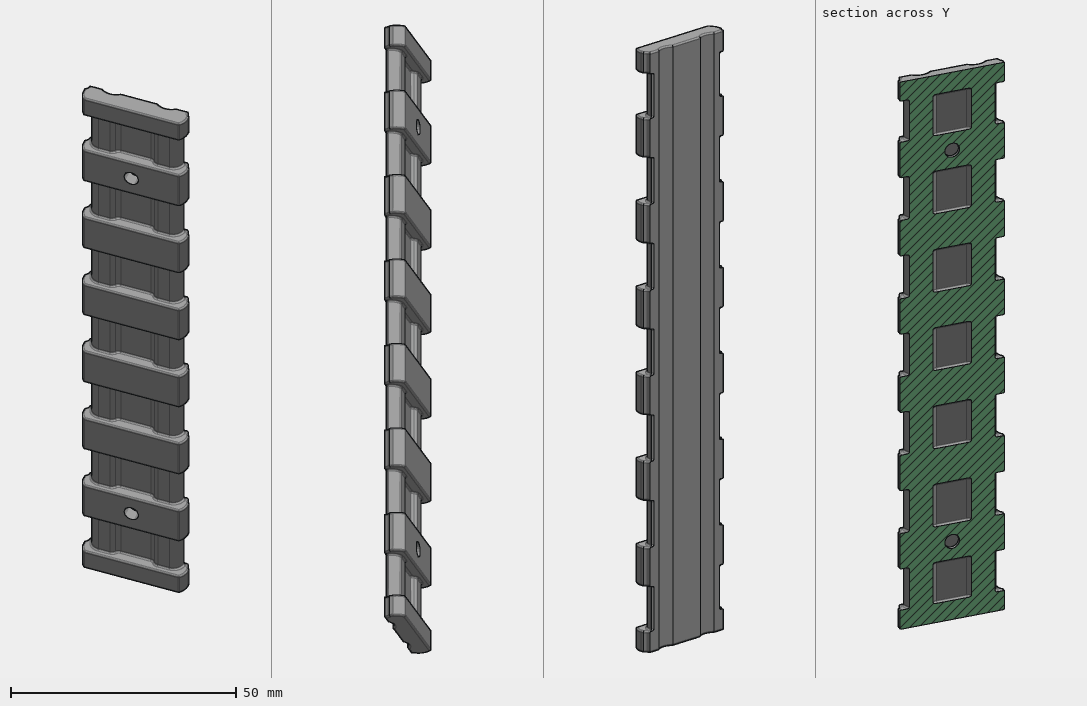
import cadquery as cq
import math

length = 140.0
rib_width = 25.0
thickness = 4.7
back_y = thickness / 2
front_y = -thickness / 2

base_width = 21.8
base_thickness = 3.1
base_front_y = back_y - base_thickness
base_side_radius = 2.4
base_back_chamfer = 0.4

channel_floor_width = 7.2
channel_mouth_width = 11.4
channel_depth = 1.15
channel_floor_y = base_front_y + channel_depth

rib_pitch = 20.0
rib_count = 6
edge_radius = 0.4
rib_height = rib_pitch / 2 - 2 * edge_radius
end_rib_height = 5.0
rib_back_depth = 1.3
rib_back_arc_radius = 1.5
rib_side_flat = 0.8
rib_front_arc_radius = 3.5

groove_diameter = 7.0
groove_width = 4.4
groove_center_x = 6.6

hole_diameter = 3.4
hole_depth = 3.0
hole_spacing = 100.0

margin = edge_radius / 4


def mirrored_prism(half_outline, z_bottom, height):
    """Extrude the +X half of a cross-section and join it to its mirror image."""
    half = half_outline.close().extrude(height).translate((0, 0, z_bottom))
    return half.union(half.mirror("YZ"), clean=True)


def make_base():
    """Strip with rounded front corners, bevelled back corners and a channel along its front."""
    half_floor = channel_floor_width / 2
    half_mouth = channel_mouth_width / 2
    wall_middle = ((half_floor + half_mouth) / 2, (channel_floor_y + base_front_y) / 2)
    side_center_x = base_width / 2 - base_side_radius
    side_center_y = base_front_y + base_side_radius
    half_outline = (
        cq.Workplane("XY")
        .moveTo(0, channel_floor_y)
        .lineTo(half_floor, channel_floor_y)
        .tangentArcPoint(wall_middle, relative=False)
        .tangentArcPoint((half_mouth, base_front_y), relative=False)
        .lineTo(side_center_x, base_front_y)
        .tangentArcPoint((base_width / 2, side_center_y), relative=False)
        .lineTo(base_width / 2, back_y - base_back_chamfer)
        .lineTo(base_width / 2 - base_back_chamfer, back_y)
        .lineTo(0, back_y)
    )
    return mirrored_prism(half_outline, -length / 2, length)


def arc_inset(radius, run):
    """Sideways shift of an arc after following it for run from its tangent point."""
    return radius - math.sqrt(radius**2 - run**2)


def make_rib(z_bottom, height):
    """Cross rib with rounded sides and square ends."""
    half_width = rib_width / 2
    flat_back_y = back_y - rib_back_depth
    flat_front_y = flat_back_y - rib_side_flat
    back_corner_x = half_width - arc_inset(rib_back_arc_radius, rib_back_depth)
    front_corner_x = half_width - arc_inset(rib_front_arc_radius, flat_front_y - front_y)
    half_outline = (
        cq.Workplane("XY")
        .moveTo(0, back_y)
        .lineTo(back_corner_x, back_y)
        .radiusArc((half_width, flat_back_y), -rib_back_arc_radius)
        .lineTo(half_width, flat_front_y)
        .tangentArcPoint((front_corner_x, front_y), relative=False)
        .lineTo(0, front_y)
    )
    return mirrored_prism(half_outline, z_bottom, height)


def level_zone(z, x_range, y_range):
    """Selector for what is centred at height z within the given X and Y ranges."""
    return cq.selectors.BoxSelector(
        (x_range[0], y_range[0], z - margin),
        (x_range[1], y_range[1], z + margin),
    )


def fillet_rib_roots(body, inner_end_levels):
    """Round the inside corners where the rib ends meet the strip."""
    x_range = (-base_width / 2, base_width / 2)
    y_range = (base_front_y - margin, back_y + margin)
    roots = []
    for end_z in inner_end_levels:
        roots += body.edges(level_zone(end_z, x_range, y_range)).vals()
    return body.newObject(roots).fillet(edge_radius)


def fillet_rib_edges(body, inner_end_levels):
    """Round the rib fronts, the overhanging rib sides and the whole outline of both part ends."""
    rim = body.faces("<Y").edges().add(body.faces("<Z or >Z").edges())
    right_x_range = (base_width / 2, rib_width / 2 + margin)
    left_x_range = (-rib_width / 2 - margin, -base_width / 2)
    y_range = (front_y + margin, back_y - margin)
    for end_z in inner_end_levels:
        for x_range in (left_x_range, right_x_range):
            rim = rim.add(body.edges(level_zone(end_z, x_range, y_range)))
    return rim.fillet(edge_radius)


def cut_back_groove(body, center_x):
    """Cut a full-length groove with a circular cross-section into the back."""
    radius = groove_diameter / 2
    axis_y = back_y + math.sqrt(radius**2 - (groove_width / 2) ** 2)
    groove = cq.Workplane("XY").center(center_x, axis_y).circle(radius).extrude(length / 2, both=True)
    return body.cut(groove)


def cut_screw_hole(body, center_z):
    """Cut a flat-bottomed hole from the rib front."""
    hole = cq.Workplane("XZ", origin=(0, front_y, center_z)).circle(hole_diameter / 2).extrude(-hole_depth)
    return body.cut(hole)


rib_spans = [(-length / 2, end_rib_height), (length / 2 - end_rib_height, end_rib_height)]
for index in range(rib_count):
    rib_center_z = (index - (rib_count - 1) / 2) * rib_pitch
    rib_spans.append((rib_center_z - rib_height / 2, rib_height))

inner_end_levels = []
for z_bottom, height in rib_spans:
    for end_z in (z_bottom, z_bottom + height):
        if abs(end_z) < length / 2 - margin:
            inner_end_levels.append(end_z)

result = make_base()
for z_bottom, height in rib_spans:
    result = result.union(make_rib(z_bottom, height))
result = fillet_rib_roots(result, inner_end_levels)

for side in (-1, 1):
    result = cut_back_groove(result, side * groove_center_x)
result = fillet_rib_edges(result, inner_end_levels)
for side in (-1, 1):
    result = cut_screw_hole(result, side * hole_spacing / 2)